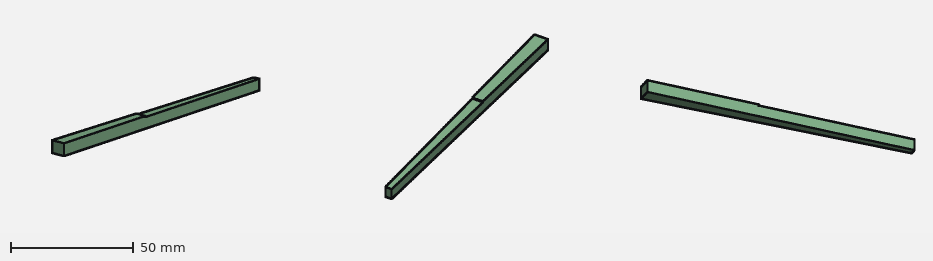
import cadquery as cq

length = 120.0
butt_width = 6.5
tip_width = 3.0
butt_height = 5.5

step_y = 50.0
tip_height = 5.0

side_profile = [
    (0, 0),
    (length, 0),
    (length, tip_height),
    (step_y, tip_height),
    (step_y, butt_height),
    (0, butt_height),
]
stepped_bar = cq.Workplane("YZ").polyline(side_profile).close().extrude(butt_width)

plan_outline = [
    (0, 0),
    (butt_width, 0),
    (butt_width, length),
    (butt_width - tip_width, length),
]
tapered_plan = cq.Workplane("XY").polyline(plan_outline).close().extrude(butt_height)

result = stepped_bar.intersect(tapered_plan)